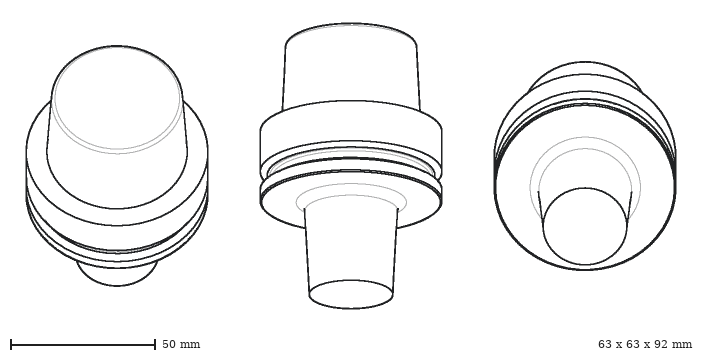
import cadquery as cq
import math

shank_length = 32.0
flange_thickness = 26.0
nose_length = 34.0

taper_ratio = 1 / 9.98
gauge_diameter = 48.01
gauge_height = 6.3
shank_edge_radius = 1.2

flange_diameter = 63.0
flange_edge_chamfer = 0.5
groove_centre_depth = 18.125
groove_mouth_width = 6.65
groove_inner_width = 3.85
groove_floor_diameter = 55.0
groove_flank_angle = 30.0
groove_corner_radius = 0.75

nose_tip_diameter = 29.0
nose_half_angle = 3.0
nose_root_radius = 3.0

flange_bottom = -flange_thickness
nose_tip = flange_bottom - nose_length


def shank_radius(height):
    """Radius of the taper shank at a height above the flange face."""
    return (gauge_diameter - taper_ratio * (height - gauge_height)) / 2


def make_shank():
    shank = (
        cq.Workplane("XZ")
        .moveTo(0, 0)
        .lineTo(shank_radius(0), 0)
        .lineTo(shank_radius(shank_length), shank_length)
        .lineTo(0, shank_length)
        .close()
        .revolve(360, (0, 0, 0), (0, 1, 0))
    )
    return shank.faces(">Z").edges().fillet(shank_edge_radius)


def make_flange():
    flange = cq.Workplane("XY").circle(flange_diameter / 2).extrude(-flange_thickness)
    return flange.faces("<Z").edges().chamfer(flange_edge_chamfer)


def make_groove():
    """Ring to cut away: sloped flanks, then flat ledges and a floor with rounded corners."""
    mouth_radius = flange_diameter / 2
    floor_radius = groove_floor_diameter / 2
    flank_height = (groove_mouth_width - groove_inner_width) / 2
    ledge_radius = mouth_radius - flank_height / math.tan(math.radians(groove_flank_angle))
    half_mouth = groove_mouth_width / 2
    half_inner = groove_inner_width / 2
    half_floor = half_inner - groove_corner_radius
    corner_radius = floor_radius + groove_corner_radius
    return (
        cq.Workplane("XZ", origin=(0, 0, -groove_centre_depth))
        .moveTo(mouth_radius, half_mouth)
        .lineTo(ledge_radius, half_inner)
        .lineTo(corner_radius, half_inner)
        .radiusArc((floor_radius, half_floor), -groove_corner_radius)
        .lineTo(floor_radius, -half_floor)
        .radiusArc((corner_radius, -half_inner), -groove_corner_radius)
        .lineTo(ledge_radius, -half_inner)
        .lineTo(mouth_radius, -half_mouth)
        .close()
        .revolve(360, (0, 0, 0), (0, 1, 0))
    )


def make_nose():
    """Tapered nose whose root blends tangentially into the flange's lower face."""
    half_angle = math.radians(nose_half_angle)
    tip_radius = nose_tip_diameter / 2
    root_height = flange_bottom - nose_root_radius * (1 + math.sin(half_angle))
    root_radius = tip_radius + (root_height - nose_tip) * math.tan(half_angle)
    blend_radius = root_radius + nose_root_radius * math.cos(half_angle)
    return (
        cq.Workplane("XZ")
        .moveTo(0, nose_tip)
        .lineTo(tip_radius, nose_tip)
        .lineTo(root_radius, root_height)
        .radiusArc((blend_radius, flange_bottom), nose_root_radius)
        .lineTo(0, flange_bottom)
        .close()
        .revolve(360, (0, 0, 0), (0, 1, 0))
    )


holder = make_flange().cut(make_groove()).union(make_shank()).union(make_nose())

result = holder.rotate((0, 0, 0), (0, 0, 1), -90)